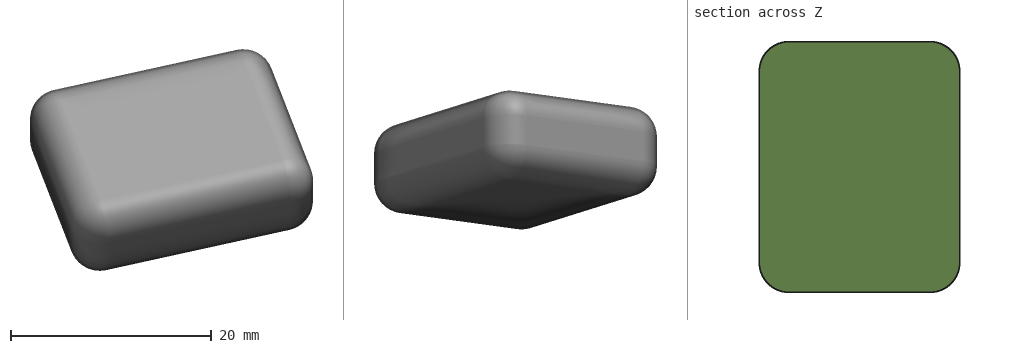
import cadquery as cq

width = 20.0
depth = 25.0
height = 9.0

edge_radius = 3.0

result = cq.Workplane("XY").box(width, depth, height).edges().fillet(edge_radius)